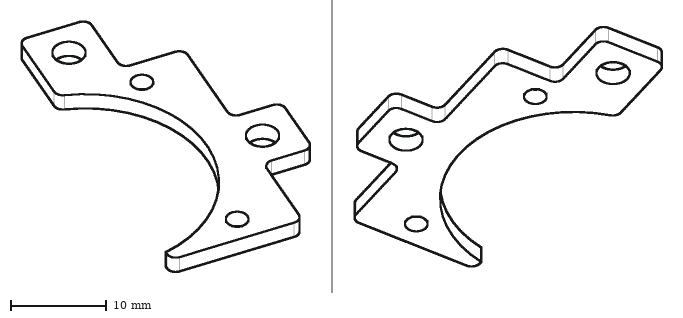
import cadquery as cq

length = 38.5
width = 21.0
thickness = 2.0
corner_radius = 1.0

tab_size = 8.0
step_x = 8.5
shoulder_y = 15.2
top_tab_left = 20.5
top_tab_right = top_tab_left + tab_size

cutout_radius = 14.0
cutout_x = 23.5
cutout_y = -3.0

tab_hole_diameter = 3.5
tab_hole_centers = [
    (tab_size / 2, tab_size / 2),
    (top_tab_left + tab_size / 2, width - tab_size / 2),
]
small_hole_diameter = 2.4
small_hole_offset = 12.0
small_hole_y = 9.0
small_hole_centers = [(cutout_x + side * small_hole_offset, small_hole_y) for side in (-1, 1)]


def stepped_plate():
    """Plate with a side tab and a top tab, all its corners rounded."""
    outline = [
        (0, 0),
        (length, 0),
        (length, shoulder_y),
        (top_tab_right, shoulder_y),
        (top_tab_right, width),
        (top_tab_left, width),
        (top_tab_left, shoulder_y),
        (step_x, shoulder_y),
        (step_x, tab_size),
        (0, tab_size),
    ]
    plate = cq.Workplane("XY").polyline(outline).close().extrude(thickness)
    return plate.edges("|Z").fillet(corner_radius)


def through_cylinders(centers, diameter):
    return cq.Workplane("XY").pushPoints(centers).circle(diameter / 2).extrude(thickness)


result = stepped_plate().cut(through_cylinders([(cutout_x, cutout_y)], 2 * cutout_radius))

cutout_left_end = (cutout_x - cutout_radius, 0, thickness / 2)
result = result.edges(cq.selectors.NearestToPointSelector(cutout_left_end)).fillet(corner_radius)

result = result.cut(through_cylinders(tab_hole_centers, tab_hole_diameter))
result = result.cut(through_cylinders(small_hole_centers, small_hole_diameter))